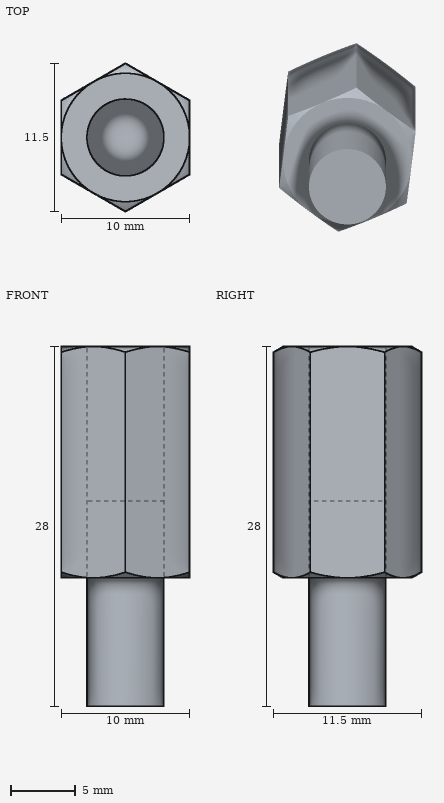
import cadquery as cq
import math

hex_sides = 6
total_length = 28.0
stud_protrusion = 10.0
across_flats = 10.0
bore_diameter = 6.0
socket_depth = 12.0
chamfer_angle = 30.0

sleeve_length = total_length - stud_protrusion
stud_length = total_length - socket_depth
flat_radius = across_flats / 2
corner_radius = flat_radius / math.cos(math.pi / hex_sides)
chamfer_drop = (corner_radius - flat_radius) * math.tan(math.radians(chamfer_angle))


def make_chamfer_envelope():
    """Turned blank whose conical ends cut the corners of the hexagon."""
    return (
        cq.Workplane("XZ")
        .moveTo(0, 0)
        .lineTo(flat_radius, 0)
        .lineTo(corner_radius, chamfer_drop)
        .lineTo(corner_radius, sleeve_length - chamfer_drop)
        .lineTo(flat_radius, sleeve_length)
        .lineTo(0, sleeve_length)
        .close()
        .revolve(360, (0, 0, 0), (0, 1, 0))
    )


def make_sleeve():
    """Hexagonal sleeve, bottom face at Z = 0, corners pointing along Y, bored through."""
    hexagon = (
        cq.Workplane("XY")
        .transformed(rotate=(0, 0, 90))
        .polygon(hex_sides, 2 * corner_radius)
        .extrude(sleeve_length)
    )
    bore = cq.Workplane("XY").circle(bore_diameter / 2).extrude(sleeve_length)
    return hexagon.intersect(make_chamfer_envelope()).cut(bore)


def make_stud():
    """Plain round stud seated in the bore and projecting below the sleeve."""
    return (
        cq.Workplane("XY")
        .workplane(offset=-stud_protrusion)
        .circle(bore_diameter / 2)
        .extrude(stud_length)
    )


sleeve = make_sleeve()
stud = make_stud()

result = cq.Compound.makeCompound([sleeve.val(), stud.val()])